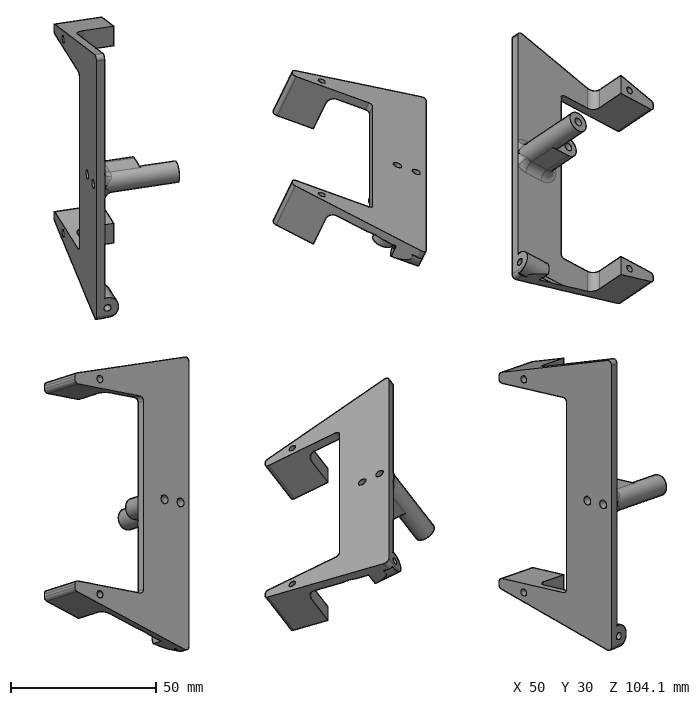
import cadquery as cq

width = 50.0
plate_thickness = 3.0
spine_half_height = 52.5
tip_half_height = 38.6
notch_half_height = 35.0
notch_depth = 30.0
corner_radius = 1.5

block_length = 15.0
block_height = 17.0
root_fillet = 3.0
arm_hole_diameter = 2.5
arm_hole_x = 11.0
arm_hole_z = 38.25

post_radius = 3.75
post_spacing = 7.0
tall_post_height = 30.0
post_edge_gap = 0.005
tall_post_x = width - post_radius - post_edge_gap
short_post_x = tall_post_x - post_spacing
short_post_height = block_height
post_hole_diameter = 3.0

lug_radius = 4.0
lug_hole_diameter = 2.5
lug_y = 4.0
lug_z = -47.5
lug_start_x = 40.0


def extrude_y(sketch, height):
    """Extrude an XZ sketch towards +Y."""
    return sketch.extrude(-height)


def outline_prism(height):
    """The rounded C outline raised to the given height."""
    points = [
        (0, tip_half_height),
        (width, spine_half_height),
        (width, -spine_half_height),
        (0, -tip_half_height),
        (0, -notch_half_height),
        (notch_depth, -notch_half_height),
        (notch_depth, notch_half_height),
        (0, notch_half_height),
    ]
    prism = extrude_y(cq.Workplane("XZ").polyline(points).close(), height)
    return prism.edges("|Y").fillet(corner_radius)


def arm_blocks():
    """Both end blocks with their concave blend, trimmed to the C outline."""
    blend_end = block_length + root_fillet
    blend_top = plate_thickness + root_fillet
    profile = (
        cq.Workplane("XY")
        .lineTo(blend_end, 0)
        .lineTo(blend_end, plate_thickness)
        .radiusArc((block_length, blend_top), root_fillet)
        .lineTo(block_length, block_height)
        .lineTo(0, block_height)
        .close()
        .extrude(spine_half_height, both=True)
    )
    return profile.intersect(outline_prism(block_height))


def plate_with_double_post():
    """Plate carrying two joined posts, blended into the plate along their common root."""
    rear_x = short_post_x
    front_x = tall_post_x
    joined_posts = (
        cq.Workplane("XZ")
        .moveTo(rear_x, post_radius)
        .lineTo(front_x, post_radius)
        .threePointArc((front_x + post_radius, 0), (front_x, -post_radius))
        .lineTo(rear_x, -post_radius)
        .threePointArc((rear_x - post_radius, 0), (rear_x, post_radius))
        .close()
    )
    tall_post = (
        cq.Workplane("XZ", origin=(0, short_post_height, 0))
        .moveTo(front_x, post_radius)
        .threePointArc((front_x + post_radius, 0), (front_x, -post_radius))
        .threePointArc((front_x - post_radius, 0), (front_x, post_radius))
        .close()
    )
    body = outline_prism(plate_thickness).union(extrude_y(joined_posts, short_post_height))
    root = cq.selectors.BoxSelector(
        (rear_x - 2 * post_radius, plate_thickness / 2, -2 * post_radius),
        (front_x + post_radius / 2, 3 * plate_thickness / 2, 2 * post_radius),
    )
    body = body.edges(root).fillet(root_fillet)
    return body.union(extrude_y(tall_post, tall_post_height - short_post_height))


def lug():
    """Cylinder along X, trimmed by the sloped lower edge and sunk half way into the plate."""
    cylinder = (
        cq.Workplane("YZ", origin=(lug_start_x, lug_y, lug_z))
        .circle(lug_radius)
        .extrude(width - lug_start_x)
    )
    limit = outline_prism(block_height).translate((0, plate_thickness / 2, 0))
    return cylinder.intersect(limit)


def holes_y(places, diameter):
    """Holes along Y through the full height of the part."""
    sketch = cq.Workplane("XZ").pushPoints(places).circle(diameter / 2)
    return extrude_y(sketch, tall_post_height)


def lug_hole():
    """Hole along X through the lug, grazing the back of the plate."""
    sketch = cq.Workplane("YZ", origin=(0, lug_y, lug_z)).circle(lug_hole_diameter / 2)
    return sketch.extrude(width)


result = plate_with_double_post().union(arm_blocks()).union(lug())
result = result.cut(holes_y([(arm_hole_x, arm_hole_z), (arm_hole_x, -arm_hole_z)], arm_hole_diameter))
result = result.cut(holes_y([(short_post_x, 0), (tall_post_x, 0)], post_hole_diameter))
result = result.cut(lug_hole())